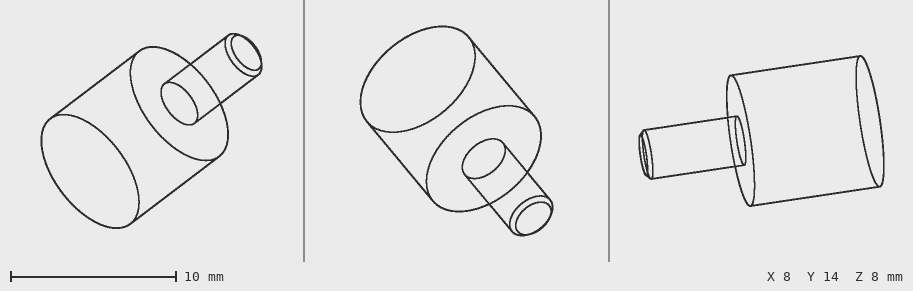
import cadquery as cq

overall_length = 14.0
buffer_diameter = 8.0
buffer_length = 8.0
stud_diameter = 3.0
tip_chamfer = 0.27

stud_length = overall_length - buffer_length
buffer_front_y = -overall_length / 2
shoulder_y = buffer_front_y + buffer_length


def cylinder_along_y(diameter, length, start_y):
    """Solid cylinder on the Y axis, extending toward +Y from start_y."""
    return (
        cq.Workplane("XZ", origin=(0, start_y, 0))
        .circle(diameter / 2)
        .extrude(-length)
    )


def make_buffer():
    """Plain cylindrical buffer body."""
    return cylinder_along_y(buffer_diameter, buffer_length, buffer_front_y)


def make_stud():
    """Stud standing on the buffer's end face, with a chamfered tip."""
    stud = cylinder_along_y(stud_diameter, stud_length, shoulder_y)
    return stud.faces(">Y").chamfer(tip_chamfer)


buffer = make_buffer()
stud = make_stud()

result = cq.Compound.makeCompound([buffer.val(), stud.val()])